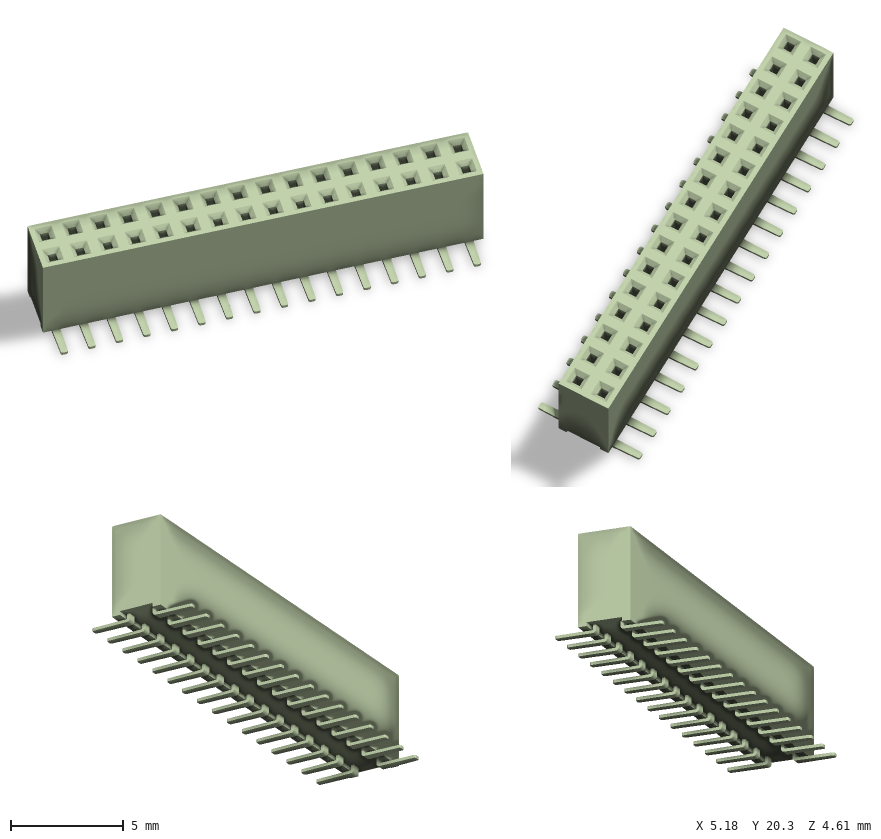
import cadquery as cq

PIN_COUNT = 16
LENGTH = 20.32
PITCH = LENGTH / PIN_COUNT
ROW_SPACING = PITCH
WIDTH = 2.55
TOTAL_HEIGHT = 4.61
STANDOFF = 0.2
CHANNEL_HALF_WIDTH = 0.85
CHANNEL_TOP = 0.39

MOUTH_SIZE = 0.8
BORE_SIZE = 0.39
FUNNEL_DEPTH = 0.2
BORE_DEPTH = 1.63
SLOT_WIDTH = 0.12
SLOT_LENGTH = 0.33
SLOT_DEPTH = 0.4

LEAD_SPAN = 5.18
LEAD_THICKNESS = 0.15
LEAD_ROOT_WIDTH = 0.4
LEAD_TIP_WIDTH = 0.33
LEAD_TIP_RADIUS = 0.091
LEAD_INNER_FACE = 0.59
LEAD_EMBED = 0.06
BEND_RADIUS = 0.16

ROW_X = ROW_SPACING / 2
STATIONS_Y = [(i - (PIN_COUNT - 1) / 2) * PITCH for i in range(PIN_COUNT)]


def make_housing():
    """Long block standing on two feet either side of a full-length channel."""
    height = TOTAL_HEIGHT - STANDOFF
    block = cq.Workplane("XY").workplane(offset=STANDOFF).rect(WIDTH, LENGTH).extrude(height)
    channel = cq.Workplane("XY").rect(2 * CHANNEL_HALF_WIDTH, LENGTH).extrude(CHANNEL_TOP)
    return block.cut(channel)


def make_socket():
    """Cutter for one socket: square funnel, square bore and a slot in its floor."""
    bore_top = TOTAL_HEIGHT - FUNNEL_DEPTH
    floor = bore_top - BORE_DEPTH
    funnel = (
        cq.Workplane("XY").workplane(offset=bore_top).rect(BORE_SIZE, BORE_SIZE)
        .workplane(offset=FUNNEL_DEPTH).rect(MOUTH_SIZE, MOUTH_SIZE)
        .loft(ruled=True)
    )
    bore = cq.Workplane("XY").workplane(offset=floor).rect(BORE_SIZE, BORE_SIZE).extrude(BORE_DEPTH)
    slot = cq.Workplane("XY").workplane(offset=floor).rect(SLOT_WIDTH, SLOT_LENGTH).extrude(-SLOT_DEPTH)
    return funnel.union(bore).union(slot)


def make_lead():
    """L-shaped lead on the +X side: an upright leg bent into a tapered foot."""
    tip_x = LEAD_SPAN / 2
    foot_start_x = LEAD_INNER_FACE + BEND_RADIUS
    inner_radius = BEND_RADIUS - LEAD_THICKNESS
    leg_top = CHANNEL_TOP + LEAD_EMBED
    leg_outer_face = LEAD_INNER_FACE + LEAD_THICKNESS
    side = (
        cq.Workplane("XZ")
        .moveTo(tip_x, 0)
        .lineTo(foot_start_x, 0)
        .radiusArc((LEAD_INNER_FACE, BEND_RADIUS), BEND_RADIUS)
        .lineTo(LEAD_INNER_FACE, leg_top)
        .lineTo(leg_outer_face, leg_top)
        .lineTo(leg_outer_face, BEND_RADIUS)
        .radiusArc((foot_start_x, LEAD_THICKNESS), -inner_radius)
        .lineTo(tip_x, LEAD_THICKNESS)
        .close()
        .extrude(LEAD_ROOT_WIDTH / 2, both=True)
    )
    root = LEAD_ROOT_WIDTH / 2
    tip = LEAD_TIP_WIDTH / 2
    plan = (
        cq.Workplane("XY")
        .polyline([
            (LEAD_INNER_FACE, -root), (foot_start_x, -root), (tip_x, -tip),
            (tip_x, tip), (foot_start_x, root), (LEAD_INNER_FACE, root),
        ])
        .close()
        .extrude(leg_top)
        .edges("|Z and >X").fillet(LEAD_TIP_RADIUS)
    )
    return side.intersect(plan)


socket_points = [(x, y) for x in (-ROW_X, ROW_X) for y in STATIONS_Y]
lead = make_lead().val()
mirrored_lead = lead.mirror("YZ")
socket = make_socket().val()

sockets = [socket.translate(cq.Vector(x, y, 0)) for x, y in socket_points]
leads = [one.translate(cq.Vector(0, y, 0)) for one in (lead, mirrored_lead) for y in STATIONS_Y]

housing = make_housing().val().cut(*sockets)
result = cq.Workplane("XY").newObject([housing.fuse(*leads)])